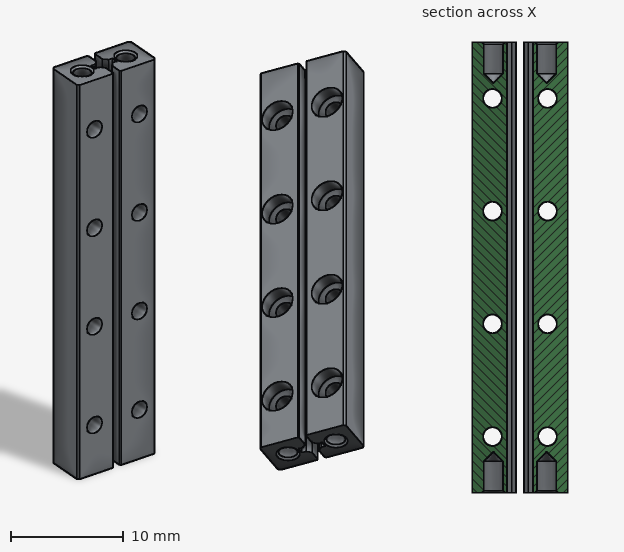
import cadquery as cq
rail_length = 40.0
rail_thickness = 4.0
pair_width = 8.5
rail_gap = 0.7
rail_width = (pair_width - rail_gap) / 2

outer_chamfer = 0.2
inner_chamfer = 0.1

track_mouth_width = 1.45
relief_width = 0.65
relief_depth = 0.8
v_depth = (track_mouth_width - relief_width) / 2

mount_count = 4
mount_pitch = rail_length / mount_count
mount_from_outer_side = 1.8
mount_diameter = 1.65
counterbore_diameter = 3.0
counterbore_depth = 1.4

end_hole_from_outer_side = 1.9
end_hole_diameter = 1.7
end_hole_depth = 2.8
drill_tip_height = end_hole_diameter / 2
countersink_diameter = 2.1
countersink_depth = (countersink_diameter - end_hole_diameter) / 2

inner_side = rail_gap / 2
outer_side = pair_width / 2
half_thickness = rail_thickness / 2
half_length = rail_length / 2


def rail_blank():
    """Full-length bar on the +Y side with its four long edges chamfered."""
    bar = cq.Workplane("XY").box(rail_thickness, rail_width, rail_length)
    bar = bar.faces(">Y").edges("|Z").chamfer(outer_chamfer)
    bar = bar.faces("<Y").edges("|Z").chamfer(inner_chamfer)
    return bar.translate((0, (inner_side + outer_side) / 2, 0))


def track_cutter():
    """V-groove and relief slot, running the whole length of the rail."""
    half_mouth = track_mouth_width / 2
    half_relief = relief_width / 2
    return (
        cq.Workplane("XY", origin=(0, inner_side, -half_length))
        .moveTo(-half_mouth, 0)
        .lineTo(-half_relief, v_depth)
        .lineTo(-half_relief, relief_depth)
        .lineTo(half_relief, relief_depth)
        .lineTo(half_relief, v_depth)
        .lineTo(half_mouth, 0)
        .close()
        .extrude(rail_length)
    )


def mounting_hole_cutter(height):
    """Through hole along X with its counterbore in the -X face."""
    face = cq.Workplane("YZ", origin=(-half_thickness, outer_side - mount_from_outer_side, height))
    bore = face.circle(mount_diameter / 2).extrude(rail_thickness)
    counterbore = face.circle(counterbore_diameter / 2).extrude(counterbore_depth)
    return bore.union(counterbore)


def end_hole_cutter():
    """Countersunk blind hole with a conical bottom, in the top end of the rail."""
    radius = end_hole_diameter / 2
    return (
        cq.Workplane("XZ")
        .moveTo(0, 0)
        .lineTo(countersink_diameter / 2, 0)
        .lineTo(radius, -countersink_depth)
        .lineTo(radius, -end_hole_depth)
        .lineTo(0, -end_hole_depth - drill_tip_height)
        .close()
        .revolve(360, (0, 0, 0), (0, 1, 0))
        .translate((0, outer_side - end_hole_from_outer_side, half_length))
    )


def make_rail():
    """Complete rail on the +Y side, with its roller track facing -Y."""
    rail = rail_blank().cut(track_cutter())
    for index in range(mount_count):
        height = (index - (mount_count - 1) / 2) * mount_pitch
        rail = rail.cut(mounting_hole_cutter(height))
    top_hole = end_hole_cutter()
    return rail.cut(top_hole).cut(top_hole.mirror("XY"))


rails = []
for is_mirrored in (False, True):
    rail = make_rail()
    if is_mirrored:
        rail = rail.mirror("XZ")
    rails.append(rail.val())

result = cq.Compound.makeCompound(rails)